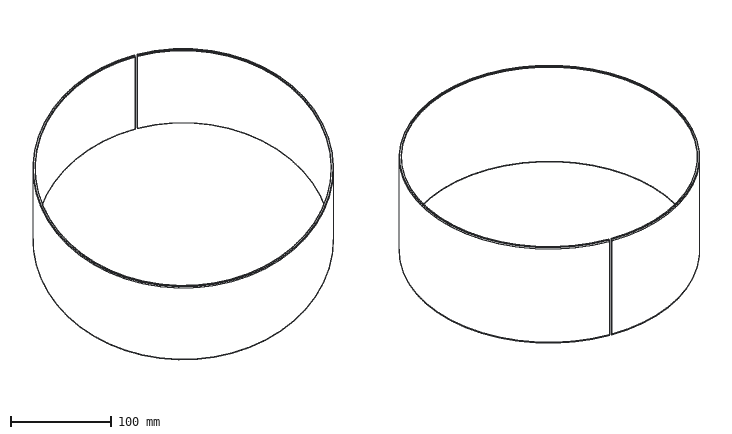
import cadquery as cq

outer_radius = 150.0
height = 120.0
wall = 2.5
inner_radius = outer_radius - wall

outer_chamfer_height = 1.5
outer_chamfer_depth = 0.5
inner_chamfer_height = 1.0
inner_chamfer_depth = 0.3

split_width = 2.5


def chamfered_ring():
    """Revolve the wall section, chamfered at all four corners."""
    section = [
        (inner_radius + inner_chamfer_depth, 0),
        (outer_radius - outer_chamfer_depth, 0),
        (outer_radius, outer_chamfer_height),
        (outer_radius, height - outer_chamfer_height),
        (outer_radius - outer_chamfer_depth, height),
        (inner_radius + inner_chamfer_depth, height),
        (inner_radius, height - inner_chamfer_height),
        (inner_radius, inner_chamfer_height),
    ]
    return cq.Workplane("XZ").polyline(section).close().revolve(360, (0, 0, 0), (0, 1, 0))


def split_cutter():
    """Box that opens only the -X side of the wall."""
    cutter = cq.Workplane("XY").box(outer_radius, split_width, height, centered=False)
    return cutter.translate((-outer_radius, 0, 0))


result = chamfered_ring().cut(split_cutter())